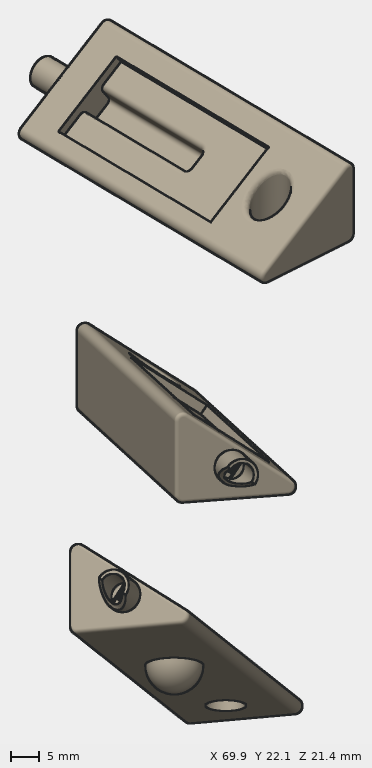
import cadquery as cq
import math

TOTAL_LENGTH = 69.85
PIN_LENGTH = 6.35
BODY_WIDTH = 22.1
BODY_HEIGHT = 16.35
CORNER_RADIUS = 1.5
END_FILLET = 0.7

BALL_RADIUS = 5.1
BALL_X = 31.9
BALL_Y = 0.15

WINDOW_START = 13.9
WINDOW_END = 53.3
WINDOW_WIDTH = 16.75
WINDOW_DEPTH = 1.95
WINDOW_CENTRE_Y = -1.25
SLOT_END = 40.5
SLOT_WIDTH = 4.75
SLOT_DEPTH = 4.2
SLOT_CORNER_RADIUS = 1.0
SLOT_FLOOR_FILLET = 0.9
RIM_FILLET = 1.05

HOLE_DIAMETER = 7.1
HOLE_X = 59.9

PIN_DIAMETER = 6.1
PIN_BORE = 4.55
PIN_Y = 0.9
PIN_Z = 6.1
RAMP_LENGTH = 3.9
RAMP_DROP = 2.2
RAMP_END_X = 4.9
BORE_DEPTH = PIN_LENGTH
KEYWAY_WIDTH = 2.4
KEYWAY_DEPTH = 0.7
SOCKET_SIDE = 2.1
SOCKET_DEPTH = 1.4

SIDE_CENTRE_Y = BODY_WIDTH / 2 - CORNER_RADIUS
TOP_CENTRE_Z = BODY_HEIGHT - CORNER_RADIUS
SLOPE = math.atan2(TOP_CENTRE_Z - CORNER_RADIUS, 2 * SIDE_CENTRE_Y)
SLOPE_DEGREES = math.degrees(SLOPE)
NORMAL_Y = -math.sin(SLOPE)
NORMAL_Z = math.cos(SLOPE)


def slope_height(y):
    """Height of the sloping face above the base at a given y."""
    front_tangent_y = -SIDE_CENTRE_Y + CORNER_RADIUS * NORMAL_Y
    front_tangent_z = CORNER_RADIUS * (1 + NORMAL_Z)
    return front_tangent_z + (y - front_tangent_y) * math.tan(SLOPE)


def make_body():
    slope_offset_y = CORNER_RADIUS * NORMAL_Y
    slope_offset_z = CORNER_RADIUS * NORMAL_Z
    half_width = BODY_WIDTH / 2
    profile = (
        cq.Workplane("YZ", origin=(PIN_LENGTH, 0, 0))
        .moveTo(-SIDE_CENTRE_Y, 0)
        .lineTo(SIDE_CENTRE_Y, 0)
        .radiusArc((half_width, CORNER_RADIUS), -CORNER_RADIUS)
        .lineTo(half_width, TOP_CENTRE_Z)
        .radiusArc((SIDE_CENTRE_Y + slope_offset_y, TOP_CENTRE_Z + slope_offset_z), -CORNER_RADIUS)
        .lineTo(-SIDE_CENTRE_Y + slope_offset_y, CORNER_RADIUS + slope_offset_z)
        .threePointArc(
            (
                -SIDE_CENTRE_Y - CORNER_RADIUS * math.cos(SLOPE / 2),
                CORNER_RADIUS - CORNER_RADIUS * math.sin(SLOPE / 2),
            ),
            (-SIDE_CENTRE_Y, 0),
        )
        .close()
    )
    body = profile.extrude(TOTAL_LENGTH - PIN_LENGTH)
    return body.faces("<X or >X").edges().fillet(END_FILLET)


def cut_hole(body):
    hole = (
        cq.Workplane("XY")
        .center(HOLE_X, 0)
        .circle(HOLE_DIAMETER / 2)
        .extrude(BODY_HEIGHT)
    )
    body = body.cut(hole)
    rim = cq.selectors.BoxSelector(
        (HOLE_X - HOLE_DIAMETER, -HOLE_DIAMETER, CORNER_RADIUS),
        (HOLE_X + HOLE_DIAMETER, HOLE_DIAMETER, BODY_HEIGHT),
    )
    return body.edges(rim).edges("not #Z").edges("not |Z").fillet(RIM_FILLET)


def slope_plane(depth):
    """Plane parallel to the sloping face, below the window centre."""
    origin = (
        0,
        WINDOW_CENTRE_Y - depth * NORMAL_Y,
        slope_height(WINDOW_CENTRE_Y) - depth * NORMAL_Z,
    )
    return cq.Plane(origin=origin, xDir=(1, 0, 0), normal=(0, NORMAL_Y, NORMAL_Z))


def make_slot_cutter():
    """Slot with a rounded far end, a filleted floor and a flared rim."""
    length = SLOT_END - WINDOW_START
    mouth_margin = SLOT_WIDTH
    block = (
        cq.Workplane("XY")
        .box(length + mouth_margin, WINDOW_WIDTH, SLOT_DEPTH + RIM_FILLET, centered=(False, True, False))
        .translate((0, 0, -SLOT_DEPTH - RIM_FILLET))
    )
    slot = (
        cq.Workplane("XY")
        .box(length, SLOT_WIDTH, SLOT_DEPTH, centered=(False, True, False))
        .translate((0, 0, -SLOT_DEPTH))
        .edges("|Z and >X")
        .fillet(SLOT_CORNER_RADIUS)
    )
    slot = slot.faces("<Z").edges("not <X").fillet(SLOT_FLOOR_FILLET)
    around_slot = block.cut(slot)
    rim = cq.selectors.BoxSelector(
        (-RIM_FILLET, -SLOT_WIDTH, -RIM_FILLET / 2),
        (length + RIM_FILLET, SLOT_WIDTH, RIM_FILLET / 2),
    )
    around_slot = around_slot.faces(">Z").edges(rim).edges("not <X").fillet(RIM_FILLET)
    return block.cut(around_slot).translate((WINDOW_START, 0, 0))


def cut_window(body):
    window = cq.Workplane(slope_plane(WINDOW_DEPTH)).center((WINDOW_START + WINDOW_END) / 2, 0)
    window = window.rect(WINDOW_END - WINDOW_START, WINDOW_WIDTH).extrude(2 * WINDOW_DEPTH)
    slot = make_slot_cutter().val().moved(cq.Location(slope_plane(WINDOW_DEPTH)))
    return body.cut(window).cut(cq.Workplane(slot))


def make_pin():
    """Pin along X with its lower half ramped away at the tip."""
    pin = cq.Workplane("YZ").circle(PIN_DIAMETER / 2).extrude(PIN_LENGTH + END_FILLET)
    ramp = (
        cq.Workplane("XZ")
        .moveTo(0, 0)
        .lineTo(RAMP_LENGTH, -RAMP_DROP)
        .tangentArcPoint((RAMP_END_X, -PIN_DIAMETER / 2), relative=False)
        .lineTo(0, -PIN_DIAMETER / 2)
        .close()
        .extrude(PIN_DIAMETER / 2, both=True)
    )
    return place_on_pin(pin.cut(ramp))


def make_pin_bore():
    """Round bore with a cross keyway and a square socket in its floor."""
    bore = cq.Workplane("YZ").circle(PIN_BORE / 2).extrude(BORE_DEPTH)
    floor = cq.Workplane("YZ", origin=(BORE_DEPTH, 0, 0))
    keyway = floor.rect(KEYWAY_WIDTH, PIN_BORE).extrude(KEYWAY_DEPTH)
    keyway = keyway.intersect(floor.circle(PIN_BORE / 2).extrude(KEYWAY_DEPTH))
    socket = floor.rect(SOCKET_SIDE, SOCKET_SIDE).extrude(SOCKET_DEPTH)
    return place_on_pin(bore.union(keyway).union(socket))


def place_on_pin(shape):
    """Turn a shape on the X axis to follow the slope and move it to the pin."""
    return shape.rotate((0, 0, 0), (1, 0, 0), SLOPE_DEGREES).translate((0, PIN_Y, PIN_Z))


ball = cq.Workplane("XY").sphere(BALL_RADIUS).translate((BALL_X, BALL_Y, 0))
lower_half = (
    cq.Workplane("XY", origin=(BALL_X, BALL_Y, 0))
    .rect(2 * BALL_RADIUS, 2 * BALL_RADIUS)
    .extrude(-BALL_RADIUS)
)

result = cut_window(cut_hole(make_body()))
result = result.union(make_pin()).cut(make_pin_bore())
result = result.union(ball.intersect(lower_half))